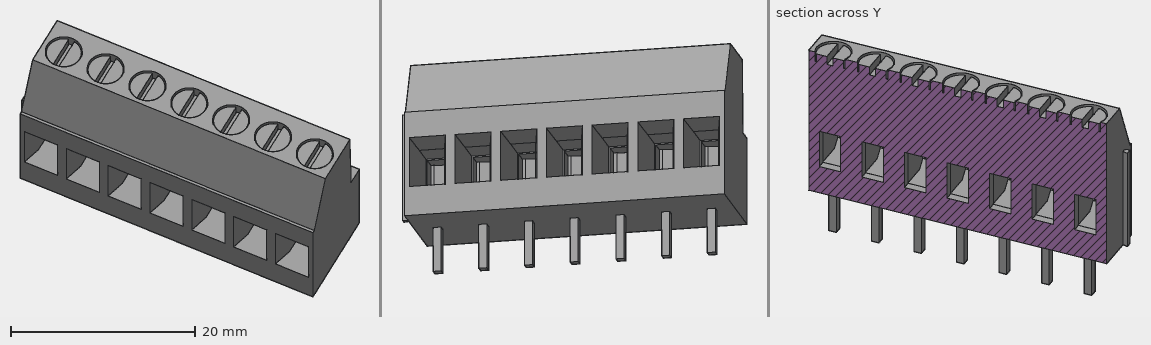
import cadquery as cq
import math


overall_length = 36.13
pole_count = 7
rib_projection = 0.58
body_length = overall_length - rib_projection
pole_pitch = body_length / pole_count
pole_centers = [(i + 0.5) * pole_pitch for i in range(pole_count)]

body_depth = 11.2
body_height = 18.03
front_wall_height = 11.78
front_ledge = 0.33
top_front_y = 3.0
top_back_y = 8.92
step_y = 9.2
step_height = 9.8

rib_height = 12.0
rib_center_y = 1.9
rib_tip_width = 0.75
rib_flank_angle = 15.0

screw_y = 5.5
screw_hole_diameter = 4.0
screw_diameter = 3.8
screw_recess = 0.2
slot_width = 0.7
slot_depth = 1.0

entry_width = 4.0
entry_height = 5.55
entry_bottom = 3.3
funnel_depth = 2.2
side_taper_angle = 15.5
top_taper_angle = 20.2
throat_width = entry_width - 2 * funnel_depth * math.tan(math.radians(side_taper_angle))
throat_height = entry_height - funnel_depth * math.tan(math.radians(top_taper_angle))
clamp_margin = 0.15
clamp_width = throat_width - 2 * clamp_margin
clamp_height = throat_height - 2 * clamp_margin
clamp_groove_width = 1.8

pin_width = 0.9
pin_thickness = 0.95
pin_length = 5.0
pin_y = 5.27


def make_body():
    profile = [
        (0, 0),
        (body_depth, 0),
        (body_depth, step_height),
        (step_y, step_height),
        (top_back_y, body_height),
        (top_front_y, body_height),
        (front_ledge, front_wall_height),
        (0, front_wall_height),
    ]
    return cq.Workplane("YZ").polyline(profile).close().extrude(body_length)


def make_rib():
    tip_half = rib_tip_width / 2
    root_half = tip_half - rib_projection * math.tan(math.radians(rib_flank_angle))
    outline = [
        (0, rib_center_y - root_half),
        (-rib_projection, rib_center_y - tip_half),
        (-rib_projection, rib_center_y + tip_half),
        (0, rib_center_y + root_half),
    ]
    return cq.Workplane("XY").polyline(outline).close().extrude(rib_height)


def make_screw_gap(x):
    """Empty space above and around the screw head, with the driver slot."""
    floor_z = body_height - screw_recess - slot_depth
    floor = cq.Workplane("XY", origin=(x, screw_y, floor_z))
    hole = floor.circle(screw_hole_diameter / 2).extrude(screw_recess + slot_depth)
    head = floor.circle(screw_diameter / 2).extrude(slot_depth)
    slot = floor.rect(slot_width, screw_diameter).extrude(slot_depth)
    return hole.cut(head.cut(slot))


def make_wire_entry(x):
    """Tapered funnel, straight throat and the clamp opening with its round back."""
    funnel = (
        cq.Workplane("XZ", origin=(x, 0, entry_bottom))
        .center(0, entry_height / 2)
        .rect(entry_width, entry_height)
        .workplane(offset=-funnel_depth)
        .center(0, (throat_height - entry_height) / 2)
        .rect(throat_width, throat_height)
        .loft(ruled=True)
    )
    throat = (
        cq.Workplane("XY")
        .box(throat_width, screw_y - funnel_depth, throat_height, centered=(True, False, False))
        .translate((x, funnel_depth, entry_bottom))
    )

    radius = screw_hole_diameter / 2
    clamp_half = clamp_width / 2
    groove_half = clamp_groove_width / 2
    back_y = math.sqrt(radius**2 - groove_half**2)
    clamp = (
        cq.Workplane("XY", origin=(x, screw_y, entry_bottom + clamp_margin))
        .moveTo(-clamp_half, 0)
        .lineTo(clamp_half, 0)
        .lineTo(clamp_half, back_y)
        .lineTo(groove_half, back_y)
        .threePointArc((0, radius), (-groove_half, back_y))
        .lineTo(-clamp_half, back_y)
        .close()
        .extrude(clamp_height)
    )
    return funnel.union(throat).union(clamp)


def make_pin(x):
    return (
        cq.Workplane("XY", origin=(x, pin_y, 0))
        .rect(pin_width, pin_thickness)
        .extrude(-pin_length)
    )


result = make_body().union(make_rib())
for center_x in pole_centers:
    result = result.cut(make_screw_gap(center_x))
    result = result.cut(make_wire_entry(center_x))
    result = result.union(make_pin(center_x))